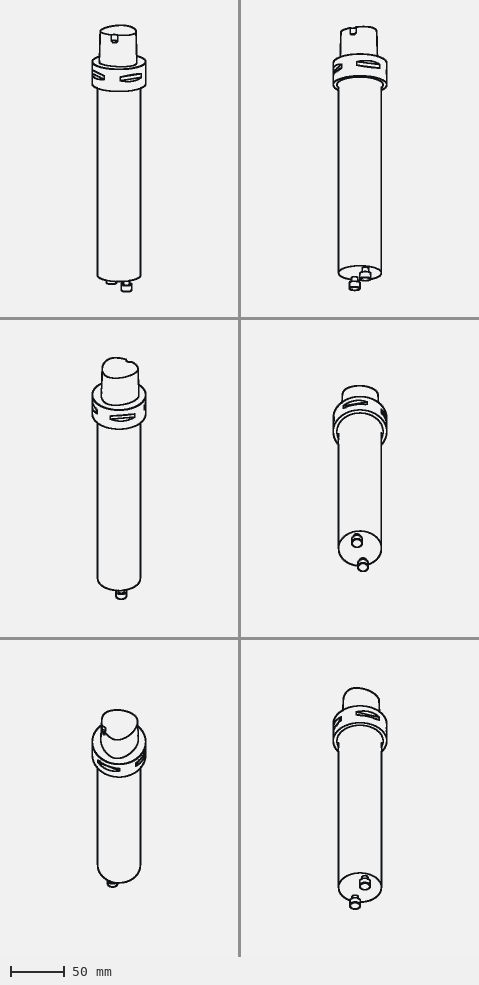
import cadquery as cq
import math

TOTAL_LENGTH = 249.0
TAPER_HEIGHT = 30.1
FLANGE_HEIGHT = 21.7
NECK_HEIGHT = 3.0
SCREW_NECK_LENGTH = 5.0
SCREW_HEAD_HEIGHT = 6.0

FLANGE_BOTTOM = TOTAL_LENGTH - TAPER_HEIGHT - FLANGE_HEIGHT
FLANGE_TOP = FLANGE_BOTTOM + FLANGE_HEIGHT
SHANK_BOTTOM = SCREW_HEAD_HEIGHT + SCREW_NECK_LENGTH

FLANGE_RADIUS = 50.0 / 2
FLANGE_CHAMFER = 0.2
SHANK_RADIUS = 40.0 / 2
NECK_STEP = 1.5

LOBE_COUNT = 3
LOBE_WIDTH = 35.0
LOBE_ECCENTRICITY = 1.12
LOBE_HALF_ANGLE = 35
TAPER_RATIO = 1 / 20
POINTS_PER_CURVE = 8

NOTCH_RADIUS = 6.5 / 2
NOTCH_AXIS_Y = -16.7
NOTCH_DEPTH = 7.2
NOTCH_CHAMFER = 1.5

GROOVE_COUNT = 4
GROOVE_FIRST_ANGLE = 45
GROOVE_CENTRE_DROP = 9.5
GROOVE_DEPTH = 2.7
GROOVE_FLOOR_HEIGHT = 3.5
GROOVE_MOUTH_HEIGHT = 6.5

SCREW_OFFSET = 10.0
SCREW_NECK_RADIUS = 6.0 / 2
SCREW_HEAD_RADIUS = 10.0 / 2
SCREW_HEAD_CHAMFER = 0.5


def lobed_point(mean_radius, angle):
    """Point of the constant-width curve whose outward normal is `angle` degrees from +Y."""
    t = math.radians(angle)
    along = mean_radius * math.cos(t) + LOBE_ECCENTRICITY * (2 * math.cos(2 * t) - math.cos(4 * t))
    across = mean_radius * math.sin(t) - LOBE_ECCENTRICITY * (2 * math.sin(2 * t) + math.sin(4 * t))
    return cq.Vector(-across, along, 0)


def lobed_curve(mean_radius, start, end):
    """Stretch of the outline between two normal angles, tangent to its neighbours."""
    step = (end - start) / POINTS_PER_CURVE
    points = [lobed_point(mean_radius, start + i * step) for i in range(POINTS_PER_CURVE + 1)]
    tangents = [
        cq.Vector(-math.cos(math.radians(angle)), -math.sin(math.radians(angle)), 0)
        for angle in (start, end)
    ]
    return cq.Edge.makeSpline(points, tangents=tangents)


def lobed_outline(mean_radius, height):
    """Closed three-lobed wire, one lobe pointing to +Y, made of lobe and flank curves."""
    pitch = 360 / LOBE_COUNT
    edges = []
    for lobe in range(LOBE_COUNT):
        lobe_start = lobe * pitch - LOBE_HALF_ANGLE
        lobe_end = lobe * pitch + LOBE_HALF_ANGLE
        edges.append(lobed_curve(mean_radius, lobe_start, lobe_end))
        edges.append(lobed_curve(mean_radius, lobe_end, lobe_start + pitch))
    return cq.Wire.assembleEdges(edges).translate(cq.Vector(0, 0, height))


def taper_shank():
    base_radius = LOBE_WIDTH / 2
    top_radius = base_radius - TAPER_HEIGHT * TAPER_RATIO / 2
    base = lobed_outline(base_radius, FLANGE_TOP)
    top = lobed_outline(top_radius, TOTAL_LENGTH)
    return cq.Workplane(obj=cq.Solid.makeLoft([base, top], True))


def key_notch():
    """Round-backed notch, chamfered around its floor."""
    return (
        cq.Workplane("XY")
        .workplane(offset=TOTAL_LENGTH - NOTCH_DEPTH)
        .center(0, NOTCH_AXIS_Y)
        .circle(NOTCH_RADIUS)
        .extrude(NOTCH_DEPTH)
        .faces("<Z")
        .chamfer(NOTCH_CHAMFER)
    )


def round_body():
    """Shank, concave flared neck and flange with a broken top edge as one turned solid."""
    return (
        cq.Workplane("XZ")
        .moveTo(0, SHANK_BOTTOM)
        .lineTo(SHANK_RADIUS, SHANK_BOTTOM)
        .lineTo(SHANK_RADIUS, FLANGE_BOTTOM - NECK_HEIGHT)
        .tangentArcPoint((SHANK_RADIUS + NECK_STEP, FLANGE_BOTTOM), relative=False)
        .lineTo(FLANGE_RADIUS, FLANGE_BOTTOM)
        .lineTo(FLANGE_RADIUS, FLANGE_TOP - FLANGE_CHAMFER)
        .lineTo(FLANGE_RADIUS - FLANGE_CHAMFER, FLANGE_TOP)
        .lineTo(0, FLANGE_TOP)
        .close()
        .revolve(360, (0, 0, 0), (0, 1, 0))
    )


def gripper_groove(angle):
    """Straight trapezoidal groove whose flat floor faces outward at the given angle."""
    floor = FLANGE_RADIUS - GROOVE_DEPTH
    half_floor = GROOVE_FLOOR_HEIGHT / 2
    half_mouth = GROOVE_MOUTH_HEIGHT / 2
    return (
        cq.Workplane("XZ")
        .moveTo(floor, -half_floor)
        .lineTo(FLANGE_RADIUS, -half_mouth)
        .lineTo(FLANGE_RADIUS, half_mouth)
        .lineTo(floor, half_floor)
        .close()
        .extrude(FLANGE_RADIUS, both=True)
        .translate((0, 0, FLANGE_TOP - GROOVE_CENTRE_DROP))
        .rotate((0, 0, 0), (0, 0, 1), angle)
    )


def screw(x, y):
    head = (
        cq.Workplane("XY")
        .circle(SCREW_HEAD_RADIUS)
        .extrude(SCREW_HEAD_HEIGHT)
        .faces("<Z")
        .chamfer(SCREW_HEAD_CHAMFER)
    )
    neck = cq.Workplane("XY").circle(SCREW_NECK_RADIUS).extrude(SHANK_BOTTOM)
    return head.union(neck).translate((x, y, 0))


result = round_body().union(taper_shank()).cut(key_notch())

for index in range(GROOVE_COUNT):
    result = result.cut(gripper_groove(GROOVE_FIRST_ANGLE + index * 360 / GROOVE_COUNT))

for side in (-1, 1):
    result = result.union(screw(side * SCREW_OFFSET, -side * SCREW_OFFSET))